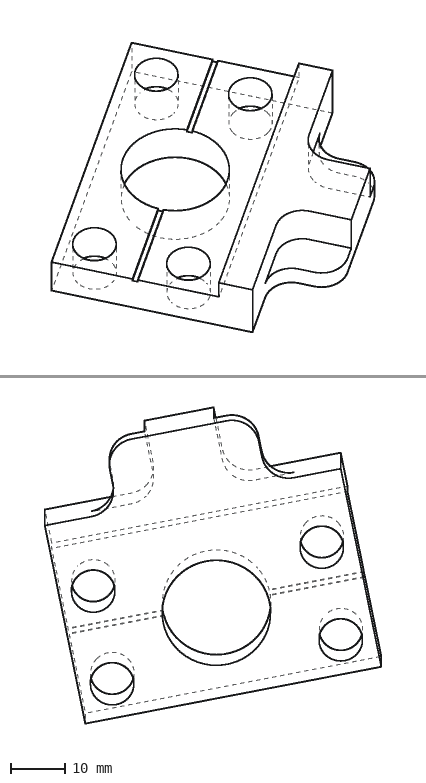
import cadquery as cq

total_length = 51.5
total_width = 55.7
total_height = 12.0

plate_length = 38.5
plate_height = 8.0
rail_start = 32.0

tab_width = 13.05
flange_width = 28.0
flange_height = 4.0
corner_radius = 5.0

bore_diameter = 20.0
bore_x = rail_start / 2
bolt_diameter = 8.0
bolt_spacing_x = 18.0
bolt_spacing_y = 43.0
bolt_center_x = 15.5
groove_width = 1.0
groove_depth = 0.5


def block(x_start, x_end, width, height):
    """Box resting on Z = 0 and centred on Y = 0."""
    length = x_end - x_start
    solid = cq.Workplane("XY").box(length, width, height, centered=(False, True, False))
    return solid.translate((x_start, 0, 0))


def root_fillet(side, width, height):
    """Concave fillet between the plate edge and one side of a tab."""
    edge_y = side * width / 2
    outer_y = edge_y + side * corner_radius
    center_x = plate_length + corner_radius
    corner = (
        cq.Workplane("XY")
        .center(plate_length + corner_radius / 2, (edge_y + outer_y) / 2)
        .rect(corner_radius, corner_radius)
        .extrude(height)
    )
    round_cut = cq.Workplane("XY").center(center_x, outer_y).circle(corner_radius).extrude(height)
    return corner.cut(round_cut)


body = block(0, plate_length, total_width, plate_height)
body = body.union(block(rail_start, plate_length, total_width, total_height))

flange = block(plate_length, total_length, flange_width, flange_height)
flange = flange.edges("|Z and >X").fillet(corner_radius)
body = body.union(flange)
body = body.union(block(plate_length, total_length, tab_width, total_height))
for side in (-1, 1):
    body = body.union(root_fillet(side, flange_width, flange_height))
    body = body.union(root_fillet(side, tab_width, total_height))

bore = cq.Workplane("XY").center(bore_x, 0).circle(bore_diameter / 2).extrude(total_height)
bolt_holes = (
    cq.Workplane("XY")
    .center(bolt_center_x, 0)
    .rarray(bolt_spacing_x, bolt_spacing_y, 2, 2)
    .circle(bolt_diameter / 2)
    .extrude(total_height)
)
body = body.cut(bore).cut(bolt_holes)

groove = block(bore_x - groove_width / 2, bore_x + groove_width / 2, total_width, groove_depth)
body = body.cut(groove.translate((0, 0, plate_height - groove_depth)))

result = body